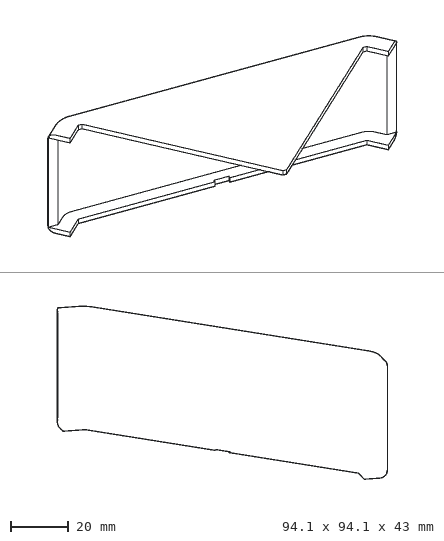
import cadquery as cq
import math

side = 94.1
height = 43.0

wall = 3.0
plate = 2.0
outer_rounding = 3.0
flange_length = 7.1
bend_radius = 8.9
tip_chamfer = 0.4

tab_width = 8.5
corner_chamfer = 1.0
triangle_inset = 9.0
tab_length = triangle_inset - corner_chamfer
notch_width = 5.65
notch_depth = 0.9

SIN45 = math.sqrt(0.5)


def mirrored(point):
    """Swap the two ends of the part across its diagonal symmetry plane."""
    x, y = point
    return side - y, side - x


def bend_points(offset):
    """Start, middle and end of the lower bend, offset inward from the outside."""
    radius = bend_radius - offset
    points = []
    for degrees in (0, 22.5, 45):
        angle = math.radians(degrees)
        x = bend_radius - radius * math.cos(angle)
        y = flange_length + radius * math.sin(angle)
        points.append((x, y))
    return points


def follow_wall(sketch, offset):
    """Trace both bends and the slanted wall between them."""
    start, middle, end = bend_points(offset)
    return (
        sketch.lineTo(*start)
        .threePointArc(middle, end)
        .lineTo(*mirrored(end))
        .threePointArc(mirrored(middle), mirrored(start))
    )


def make_envelope():
    """Solid behind the outer skin, rounded along its top and bottom."""
    sketch = follow_wall(cq.Workplane("XY").moveTo(0, 0), 0)
    body = sketch.lineTo(side, side).lineTo(side, 0).close().extrude(height)
    skin_edges = body.faces("<Z or >Z").edges("not(>X or <Y)")
    return skin_edges.fillet(outer_rounding)


def make_wall():
    """Bent wall, its ends bevelled at 45 degrees toward the inside."""
    inner_end = (wall, wall - tip_chamfer)
    sketch = cq.Workplane("XY").moveTo(*inner_end)
    sketch = follow_wall(sketch, wall).lineTo(*mirrored(inner_end))
    return (
        sketch.lineTo(side, side - tip_chamfer)
        .lineTo(side - tip_chamfer, side)
        .lineTo(0, side)
        .lineTo(0, tip_chamfer)
        .lineTo(tip_chamfer, 0)
        .close()
        .extrude(height)
    )


def make_top_plate():
    """Triangular plate with a tab at each end and small corner chamfers."""
    corner_end = (side - triangle_inset - corner_chamfer, triangle_inset)
    points = [(0, 0), (tab_width, 0), (tab_width, tab_length)]
    points += [(tab_width + corner_chamfer, triangle_inset), corner_end]
    points += [mirrored(point) for point in reversed(points)]
    points.append((0, side))
    return cq.Workplane("XY", origin=(0, 0, height - plate)).polyline(points).close().extrude(plate)


def make_bottom_plate():
    """Narrow plate along the wall, with a notch halfway along its free edge."""
    edge_shift = (tab_width - tab_length) / 2
    notch_x = side / 2 - notch_width / 2 * SIN45 + edge_shift
    notch_y = notch_x - 2 * edge_shift
    notch_shift = notch_depth * SIN45
    points = [(0, 0), (tab_width, 0), (tab_width, tab_length)]
    points += [(notch_x, notch_y), (notch_x - notch_shift, notch_y + notch_shift)]
    points += [mirrored(point) for point in reversed(points)]
    points.append((0, side))
    return cq.Workplane("XY").polyline(points).close().extrude(plate)


frame = make_wall().union(make_top_plate()).union(make_bottom_plate())
result = make_envelope().intersect(frame)